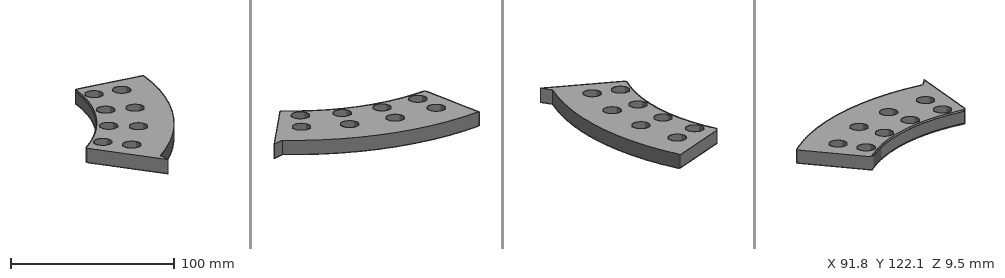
import cadquery as cq
import math

thickness = 9.5
inner_radius = 116.4
sweep_angle = 48.0
overall_length = 122.1
outer_radius = overall_length / math.sin(math.radians(sweep_angle))

tooth_tip_radius = 170.9
tooth_root_height = 4.6

hole_diameter = 11.2
hole_row_radii = (124.2, 142.5)
holes_per_row = 4
hole_pitch_angle = sweep_angle / holes_per_row

corner_radius = 2.9
inner_chamfer_width = 0.6
inner_chamfer_depth = 0.9
end_bevel_width = 1.3
end_bevel_depth = 0.4


def polar(radius, angle):
    """Point at a radius and an angle in degrees about the arc centre."""
    return radius * math.cos(math.radians(angle)), radius * math.sin(math.radians(angle))


def make_plate():
    tooth_root_angle = math.degrees(math.asin(tooth_root_height / outer_radius))
    outer_middle_angle = (tooth_root_angle + sweep_angle) / 2
    return (
        cq.Workplane("XY")
        .moveTo(inner_radius, 0)
        .lineTo(tooth_tip_radius, 0)
        .lineTo(*polar(outer_radius, tooth_root_angle))
        .threePointArc(polar(outer_radius, outer_middle_angle), polar(outer_radius, sweep_angle))
        .lineTo(*polar(inner_radius, sweep_angle))
        .threePointArc(polar(inner_radius, sweep_angle / 2), (inner_radius, 0))
        .close()
        .extrude(thickness)
    )


def cut_inner_edge_chamfers(plate):
    """Chamfer the concave edge on both faces with a revolved ring profile."""
    ring_radius = inner_radius + inner_chamfer_width
    for face_z, inward in ((0, 1), (thickness, -1)):
        ring = (
            cq.Workplane("XZ")
            .moveTo(inner_radius, face_z)
            .lineTo(ring_radius, face_z)
            .lineTo(inner_radius, face_z + inward * inner_chamfer_depth)
            .close()
            .revolve(360, (0, 0), (0, 1))
        )
        plate = plate.cut(ring)
    return plate


def cut_end_bevels(plate):
    """Bevel the slanted radial end on both faces with shallow wedges."""
    for face_z, inward in ((0, 1), (thickness, -1)):
        wedge = (
            cq.Workplane("YZ")
            .moveTo(0, face_z)
            .lineTo(-end_bevel_width, face_z)
            .lineTo(0, face_z + inward * end_bevel_depth)
            .close()
            .extrude(tooth_tip_radius)
            .rotate((0, 0, 0), (0, 0, 1), sweep_angle)
        )
        plate = plate.cut(wedge)
    return plate


def corner_trimmer(corner_angle, side):
    """Sharp material outside a corner round; side is +1 or -1 towards the plate."""
    centre_x = math.sqrt((inner_radius + corner_radius) ** 2 - corner_radius**2)
    centre_y = side * corner_radius
    contact_scale = inner_radius / (inner_radius + corner_radius)
    contact = (centre_x * contact_scale, centre_y * contact_scale)
    toward_contact = math.degrees(math.atan2(-centre_y, -centre_x)) % 360
    toward_end_face = 180 + side * 90
    middle_angle = (toward_contact + toward_end_face) / 2
    offset_x, offset_y = polar(corner_radius, middle_angle)
    return (
        cq.Workplane("XY")
        .moveTo(centre_x, 0)
        .threePointArc((centre_x + offset_x, centre_y + offset_y), contact)
        .lineTo(inner_radius - corner_radius, contact[1])
        .lineTo(inner_radius - corner_radius, 0)
        .close()
        .extrude(thickness)
        .rotate((0, 0, 0), (0, 0, 1), corner_angle)
    )


def cut_holes(plate):
    centres = [
        polar(radius, (index + 0.5) * hole_pitch_angle)
        for radius in hole_row_radii
        for index in range(holes_per_row)
    ]
    holes = cq.Workplane("XY").pushPoints(centres).circle(hole_diameter / 2).extrude(thickness)
    return plate.cut(holes)


plate = make_plate()
plate = cut_inner_edge_chamfers(plate)
plate = cut_end_bevels(plate)
plate = plate.cut(corner_trimmer(0, 1))
plate = plate.cut(corner_trimmer(sweep_angle, -1))
result = cut_holes(plate)